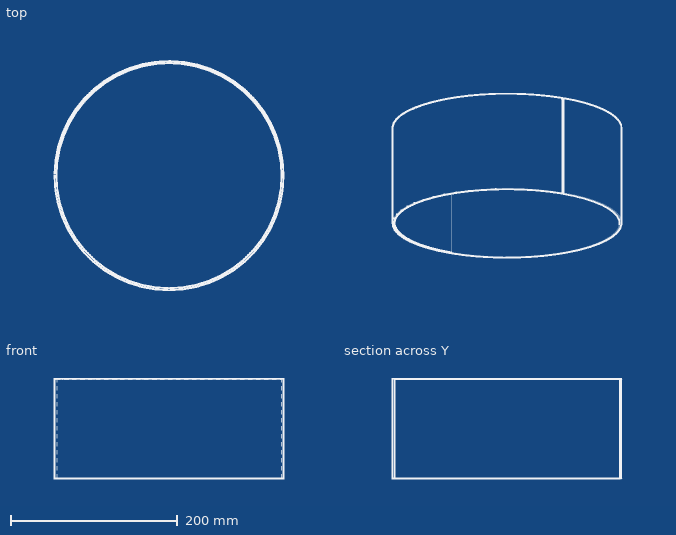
import cadquery as cq

outer_diameter = 275.0
wall = 2.8
height = 120.0
slit_width = 2.2
rim_round = 0.5
slit_edge_y = 0.0

outer_radius = outer_diameter / 2

ring = (
    cq.Workplane("XY")
    .circle(outer_radius)
    .circle(outer_radius - wall)
    .extrude(height)
    .faces("|Z").edges().fillet(rim_round)
)

slit = (
    cq.Workplane("XY")
    .box(2 * wall, slit_width, height, centered=(True, False, False))
    .translate((-outer_radius, slit_edge_y, 0))
)

result = ring.cut(slit)